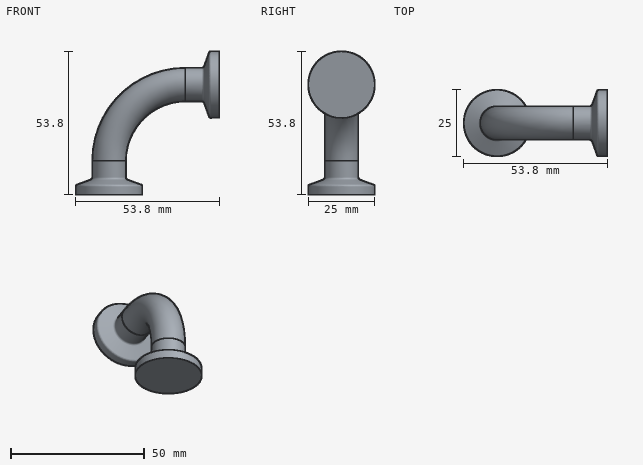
import cadquery as cq
import math

overall_size = 53.8
flange_diameter = 25.0
tube_diameter = 12.7
flange_radius = flange_diameter / 2
tube_radius = tube_diameter / 2

ferrule_length = 12.7
rim_height = 3.7
cone_angle = 20.0
cone_top = rim_height + (flange_radius - tube_radius) * math.tan(math.radians(cone_angle))
rim_round = 0.8
neck_round = 0.8

axis_height = overall_size - flange_radius
bend_radius = axis_height - ferrule_length


def circle_at_height(height):
    """Selector for the circular edge around the Z axis at the given height."""
    margin = 0.05
    return cq.selectors.BoxSelector(
        (-flange_diameter, -flange_diameter, height - margin),
        (flange_diameter, flange_diameter, height + margin),
    )


def make_ferrule():
    """Clamp ferrule on the Z axis, mating face at Z = 0 and neck pointing up."""
    ferrule = (
        cq.Workplane("XZ")
        .moveTo(0, 0)
        .lineTo(flange_radius, 0)
        .lineTo(flange_radius, rim_height)
        .lineTo(tube_radius, cone_top)
        .lineTo(tube_radius, ferrule_length)
        .lineTo(0, ferrule_length)
        .close()
        .revolve(360, (0, 0, 0), (0, 1, 0))
    )
    ferrule = ferrule.edges(circle_at_height(rim_height)).fillet(rim_round)
    return ferrule.edges(circle_at_height(cone_top)).fillet(neck_round)


def make_elbow():
    """Quarter bend from the bottom neck to the side neck."""
    return (
        cq.Workplane("XY")
        .workplane(offset=ferrule_length)
        .circle(tube_radius)
        .revolve(90, (bend_radius, 0, 0), (bend_radius, 1, 0))
    )


elbow = make_elbow()
bottom_ferrule = make_ferrule()
side_ferrule = (
    make_ferrule().rotate((0, 0, 0), (0, 1, 0), -90).translate((axis_height, 0, axis_height))
)

result = cq.Compound.makeCompound([elbow.val(), bottom_ferrule.val(), side_ferrule.val()])